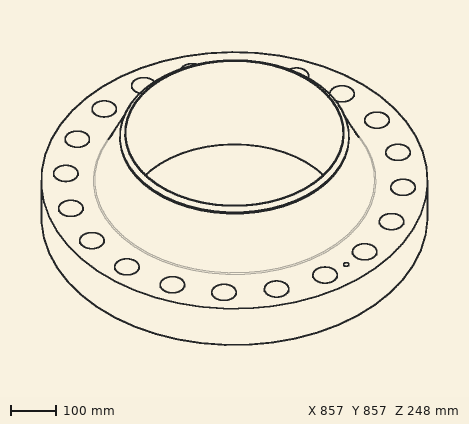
import cadquery as cq
import math

flange_diameter = 857.0
flange_thickness = 108.0
total_height = 248.0

bore_diameter = 482.5
hub_base_diameter = 622.0
hub_foot_fillet = 3.0
neck_diameter = 508.0
neck_straight_height = 4.0
weld_bevel_height = 8.5
weld_land_width = 2.0

bolt_circle_diameter = 749.0
bolt_hole_diameter = 54.0
bolt_count = 20
bolt_pitch_angle = 360.0 / bolt_count

stepped_hole_diameter = 12.0
stepped_hole_depth = 17.0
pilot_diameter = 6.0
pilot_depth = 34.0
stepped_hole_angle = bolt_pitch_angle / 2


def make_body():
    """Revolve the half section of plate, tapered hub, neck and weld bevel."""
    bore_radius = bore_diameter / 2
    flange_radius = flange_diameter / 2
    hub_base_radius = hub_base_diameter / 2
    neck_radius = neck_diameter / 2
    land_radius = bore_radius + weld_land_width

    bevel_bottom = total_height - weld_bevel_height
    taper_top = bevel_bottom - neck_straight_height

    section = (
        cq.Workplane("XZ")
        .moveTo(bore_radius, 0)
        .lineTo(flange_radius, 0)
        .lineTo(flange_radius, flange_thickness)
        .lineTo(hub_base_radius, flange_thickness)
        .lineTo(neck_radius, taper_top)
        .lineTo(neck_radius, bevel_bottom)
        .lineTo(land_radius, total_height)
        .lineTo(bore_radius, total_height)
        .close()
    )
    body = section.revolve(360, (0, 0, 0), (0, 1, 0))
    foot_edge = cq.selectors.RadiusNthSelector(-2)
    return body.edges(foot_edge).fillet(hub_foot_fillet)


def make_bolt_holes():
    """Through holes spread evenly over the bolt circle, the first on +X."""
    return (
        cq.Workplane("XY")
        .polarArray(bolt_circle_diameter / 2, 0, 360, bolt_count)
        .circle(bolt_hole_diameter / 2)
        .extrude(flange_thickness)
    )


def make_stepped_hole():
    """Blind hole with a narrower pilot, in the top face of the plate on the bolt circle."""
    angle = math.radians(stepped_hole_angle)
    center = cq.Vector(
        bolt_circle_diameter / 2 * math.cos(angle),
        bolt_circle_diameter / 2 * math.sin(angle),
        flange_thickness,
    )
    top_plane = cq.Workplane("XY", origin=center)
    wide_part = top_plane.circle(stepped_hole_diameter / 2).extrude(-stepped_hole_depth)
    pilot_part = top_plane.circle(pilot_diameter / 2).extrude(-pilot_depth)
    return wide_part.union(pilot_part)


result = make_body().cut(make_bolt_holes()).cut(make_stepped_hole())